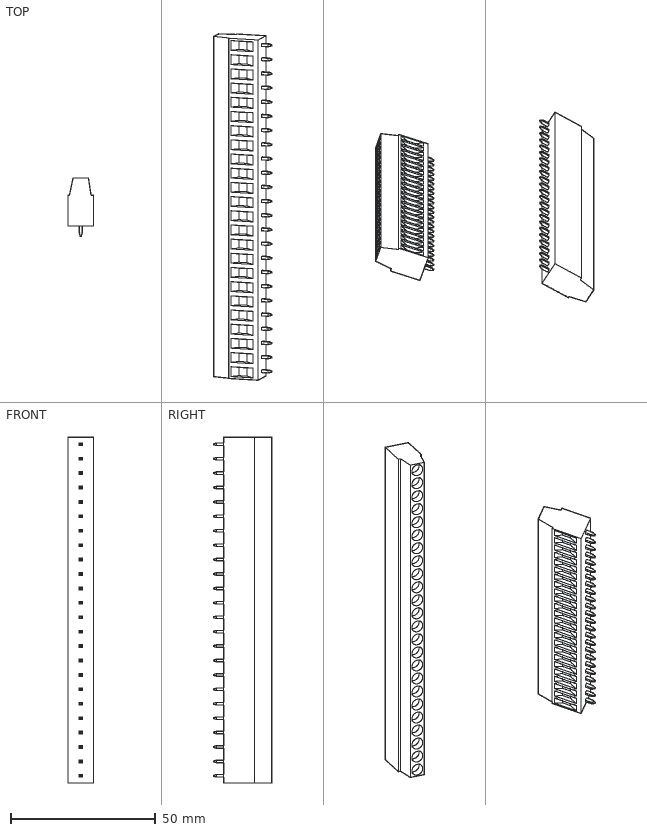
import cadquery as cq

way_count = 24
block_length = 120.0
pitch = block_length / way_count

body_width = 8.9
body_depth = 16.8
shoulder_depth = 6.0
entry_side_shoulder = 0.5
far_side_shoulder = 0.8
crest_width = 5.4

pin_width = 1.1
pin_thickness = 1.0
pin_length = 3.5
pin_tip_length = 1.1
pin_tip_width = 0.4
pin_tip_thickness = 0.4

entry_width = 8.2
entry_height = 3.5
throat_width = 3.0
throat_height = 2.9
entry_depth = 1.02
entry_offset = 1.8

screw_well_diameter = 4.1
screw_well_depth = 2.9

part_depth = body_depth + pin_length
front_y = -part_depth / 2 + pin_length
crest_y = front_y + body_depth
shoulder_y = crest_y - shoulder_depth
side_x = body_width / 2
entry_side_neck_x = -side_x + entry_side_shoulder
far_side_neck_x = side_x - far_side_shoulder
crest_x = crest_width / 2
entry_y = front_y + entry_offset + entry_width / 2
way_heights = [(way - (way_count - 1) / 2) * pitch for way in range(way_count)]


def housing():
    """Stepped and tapered section, extruded along the row of ways."""
    return (
        cq.Workplane("XY", origin=(0, 0, -block_length / 2))
        .polyline([
            (-side_x, front_y),
            (side_x, front_y),
            (side_x, shoulder_y),
            (far_side_neck_x, shoulder_y),
            (crest_x, crest_y),
            (-crest_x, crest_y),
            (entry_side_neck_x, shoulder_y),
            (-side_x, shoulder_y),
        ])
        .close()
        .extrude(block_length)
    )


def wire_entry(z):
    """Rectangular funnel sunk into the -X side, narrowing to a flat floor."""
    return (
        cq.Workplane("YZ", origin=(-side_x, entry_y, z))
        .rect(entry_width, entry_height)
        .workplane(offset=entry_depth)
        .rect(throat_width, throat_height)
        .loft(ruled=True)
    )


def screw_well(z):
    """Blind round well sunk from the crest into one way."""
    return (
        cq.Workplane("XZ", origin=(0, crest_y, z))
        .circle(screw_well_diameter / 2)
        .extrude(screw_well_depth)
    )


def solder_pin(z):
    """Rectangular pin on the -Y face with a tapered tip."""
    shank = (
        cq.Workplane("XZ", origin=(0, front_y, z))
        .rect(pin_width, pin_thickness)
        .extrude(pin_length - pin_tip_length)
    )
    tip = (
        shank.faces("<Y").workplane()
        .rect(pin_width, pin_thickness)
        .workplane(offset=pin_tip_length)
        .rect(pin_tip_width, pin_tip_thickness)
        .loft(ruled=True, combine=False)
    )
    return shank.union(tip)


result = housing()
for way_z in way_heights:
    result = result.cut(wire_entry(way_z))
    result = result.cut(screw_well(way_z))
    result = result.union(solder_pin(way_z))